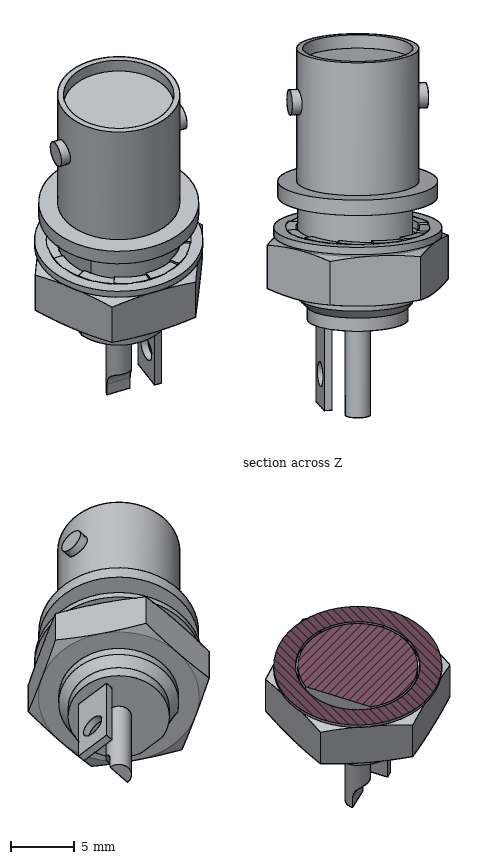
import cadquery as cq
import math

TOTAL_HEIGHT = 29.8
FLANGE_TOP = 19.0
FLANGE_BOTTOM = 17.75
WASHER_BOTTOM = 14.65
NUT_BOTTOM = 10.4
THREAD_BOTTOM = 9.6
HOUSING_BOTTOM = 7.78

BARREL_RADIUS = 4.83
BORE_RADIUS = 4.35
BORE_DEPTH = 1.07
FLANGE_RADIUS = 6.32
THREAD_RADIUS = 4.75
NECK_RADIUS = 4.0
FLAT_DISTANCE = 3.8
STUD_RADIUS = 1.0
STUD_REACH = 5.5
STUD_HEIGHT = 25.7

TAB_WIDTH = 3.0
TAB_NEAR_Y = 2.4
TAB_THICKNESS = 0.63
TAB_BOTTOM = 0.85
TAB_HOLE_RADIUS = 0.98
TAB_HOLE_HEIGHT = 3.5

NUT_ACROSS_FLATS = 12.7
NUT_HEIGHT = 4.05
NUT_CHAMFER_ANGLE = 15.0

WASHER_RADIUS = 6.65
WASHER_RING_INNER_RADIUS = 5.65
TOOTH_INNER_RADIUS = 4.9
WASHER_THICKNESS = 0.6
TOOTH_COUNT = 12
TOOTH_PITCH = 360 / TOOTH_COUNT
TOOTH_TILT = 3.5
TOOTH_ROOT_OVERLAP = 0.05

PIN_RADIUS = 1.0
CUT_FLAT_TOP = 1.07
CUT_ARC_RADIUS = 1.5


def cylinder(radius, bottom, top):
    return cq.Workplane("XY").workplane(offset=bottom).circle(radius).extrude(top - bottom)


def make_turned_body():
    """Barrel, flange, thread and neck, turned as one profile."""
    neck_top = THREAD_BOTTOM - (THREAD_RADIUS - NECK_RADIUS)
    bore_floor = TOTAL_HEIGHT - BORE_DEPTH
    profile = [
        (0, HOUSING_BOTTOM),
        (NECK_RADIUS, HOUSING_BOTTOM),
        (NECK_RADIUS, neck_top),
        (THREAD_RADIUS, THREAD_BOTTOM),
        (THREAD_RADIUS, FLANGE_BOTTOM),
        (FLANGE_RADIUS, FLANGE_BOTTOM),
        (FLANGE_RADIUS, FLANGE_TOP),
        (BARREL_RADIUS, FLANGE_TOP),
        (BARREL_RADIUS, TOTAL_HEIGHT),
        (BORE_RADIUS, TOTAL_HEIGHT),
        (BORE_RADIUS, bore_floor),
        (0, bore_floor),
    ]
    return cq.Workplane("XZ").polyline(profile).close().revolve(360, (0, 0, 0), (0, 1, 0))


def make_keying_flat_cutter():
    """Block that flattens the -Y side of everything below the flange."""
    return cq.Workplane("XY").box(
        2 * THREAD_RADIUS,
        THREAD_RADIUS,
        FLANGE_BOTTOM - HOUSING_BOTTOM,
        centered=(True, False, False),
    ).translate((0, -FLAT_DISTANCE - THREAD_RADIUS, HOUSING_BOTTOM))


def make_studs():
    """Two bayonet studs on one line through the barrel, clear of the blind bore."""
    return (
        cq.Workplane("XZ")
        .center(0, STUD_HEIGHT)
        .circle(STUD_RADIUS)
        .extrude(STUD_REACH, both=True)
    )


def make_ground_tab():
    tab = cq.Workplane("XY").box(
        TAB_WIDTH,
        TAB_THICKNESS,
        HOUSING_BOTTOM - TAB_BOTTOM,
        centered=(True, False, False),
    ).translate((0, TAB_NEAR_Y, TAB_BOTTOM))
    hole = (
        cq.Workplane("XZ", origin=(0, TAB_NEAR_Y, TAB_HOLE_HEIGHT))
        .circle(TAB_HOLE_RADIUS)
        .extrude(-TAB_THICKNESS)
    )
    return tab.cut(hole)


def make_housing():
    body = make_turned_body().cut(make_keying_flat_cutter())
    return body.union(make_studs()).union(make_ground_tab())


def make_nut():
    corner_radius = NUT_ACROSS_FLATS / 2 / math.cos(math.pi / 6)
    corner_drop = (corner_radius - NUT_ACROSS_FLATS / 2) * math.tan(math.radians(NUT_CHAMFER_ANGLE))
    hexagon = (
        cq.Workplane("XY")
        .polygon(6, 2 * corner_radius)
        .extrude(NUT_HEIGHT)
        .rotate((0, 0, 0), (0, 0, 1), 30)
    )
    envelope = (
        cq.Workplane("XZ")
        .polyline([
            (0, 0),
            (NUT_ACROSS_FLATS / 2, 0),
            (corner_radius, corner_drop),
            (corner_radius, NUT_HEIGHT - corner_drop),
            (NUT_ACROSS_FLATS / 2, NUT_HEIGHT),
            (0, NUT_HEIGHT),
        ])
        .close()
        .revolve(360, (0, 0, 0), (0, 1, 0))
    )
    blank = hexagon.intersect(envelope).translate((0, 0, NUT_BOTTOM))
    return blank.cut(cylinder(THREAD_RADIUS, NUT_BOTTOM, NUT_BOTTOM + NUT_HEIGHT))


def make_washer_tooth():
    """One tooth along +X, tilted so that its clockwise edge stands high."""
    half_angle = math.radians(TOOTH_PITCH / 2)
    outer_radius = WASHER_RING_INNER_RADIUS + TOOTH_ROOT_OVERLAP

    def at(radius, angle):
        return (radius * math.cos(angle), radius * math.sin(angle))

    return (
        cq.Workplane("XY")
        .workplane(offset=-WASHER_THICKNESS / 2)
        .moveTo(*at(TOOTH_INNER_RADIUS, -half_angle))
        .lineTo(*at(outer_radius, -half_angle))
        .threePointArc(at(outer_radius, 0), at(outer_radius, half_angle))
        .lineTo(*at(TOOTH_INNER_RADIUS, half_angle))
        .threePointArc(at(TOOTH_INNER_RADIUS, 0), at(TOOTH_INNER_RADIUS, -half_angle))
        .close()
        .extrude(WASHER_THICKNESS)
        .rotate((0, 0, 0), (1, 0, 0), -TOOTH_TILT)
    )


def make_washer():
    half_thickness = WASHER_THICKNESS / 2
    washer = cylinder(WASHER_RADIUS, -half_thickness, half_thickness).cut(
        cylinder(WASHER_RING_INNER_RADIUS, -half_thickness, half_thickness)
    )
    tooth = make_washer_tooth()
    for index in range(TOOTH_COUNT):
        washer = washer.union(tooth.rotate((0, 0, 0), (0, 0, 1), (index + 0.5) * TOOTH_PITCH))
    return washer.translate((0, 0, WASHER_BOTTOM + half_thickness))


def make_pin():
    """Contact pin, its +X half cut away at the free end with a curved run-out."""
    arc_angle = math.acos(1 - PIN_RADIUS / CUT_ARC_RADIUS)
    arc_mid = (
        CUT_ARC_RADIUS * (1 - math.cos(arc_angle / 2)),
        CUT_FLAT_TOP + CUT_ARC_RADIUS * math.sin(arc_angle / 2),
    )
    arc_end = (PIN_RADIUS, CUT_FLAT_TOP + CUT_ARC_RADIUS * math.sin(arc_angle))
    cut = (
        cq.Workplane("XZ")
        .moveTo(0, 0)
        .lineTo(0, CUT_FLAT_TOP)
        .threePointArc(arc_mid, arc_end)
        .lineTo(PIN_RADIUS, 0)
        .close()
        .extrude(PIN_RADIUS, both=True)
    )
    return cylinder(PIN_RADIUS, 0, HOUSING_BOTTOM).cut(cut)


housing = make_housing()
washer = make_washer()
nut = make_nut()
pin = make_pin()

result = cq.Compound.makeCompound([housing.val(), washer.val(), nut.val(), pin.val()])